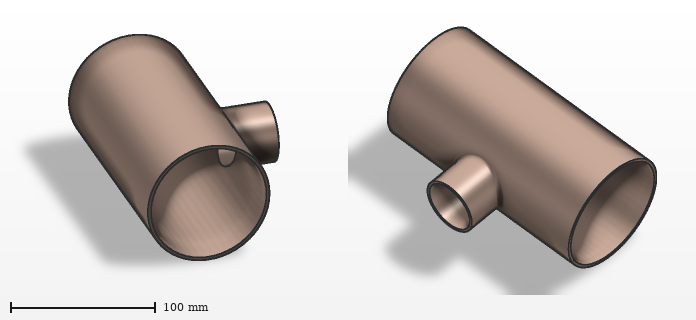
import cadquery as cq

run_length = 172.0
run_outer_diameter = 89.0
run_bore_diameter = 84.3

branch_outer_diameter = 42.5
branch_bore_diameter = 38.4
overall_depth = 117.5
branch_reach = overall_depth - run_outer_diameter / 2

seam_radius = 3.1
seam_search_margin = 1.7


def run_cylinder(diameter):
    """Cylinder over the full length of the main pipe."""
    return cq.Workplane("YZ").circle(diameter / 2).extrude(run_length / 2, both=True)


def branch_cylinder(diameter):
    """Cylinder from the main axis to the open end of the branch."""
    return cq.Workplane("XZ").circle(diameter / 2).extrude(-branch_reach)


def seam_edges():
    """Box selector around the curve where the two outer surfaces meet."""
    half_width = branch_outer_diameter / 2 + seam_search_margin
    far_y = run_outer_diameter / 2 + seam_search_margin
    return cq.selectors.BoxSelector(
        (-half_width, seam_search_margin, -half_width),
        (half_width, far_y, half_width),
        boundingbox=True,
    )


outer_body = run_cylinder(run_outer_diameter).union(branch_cylinder(branch_outer_diameter))
outer_body = outer_body.edges(seam_edges()).fillet(seam_radius)

result = outer_body.cut(run_cylinder(run_bore_diameter)).cut(branch_cylinder(branch_bore_diameter))